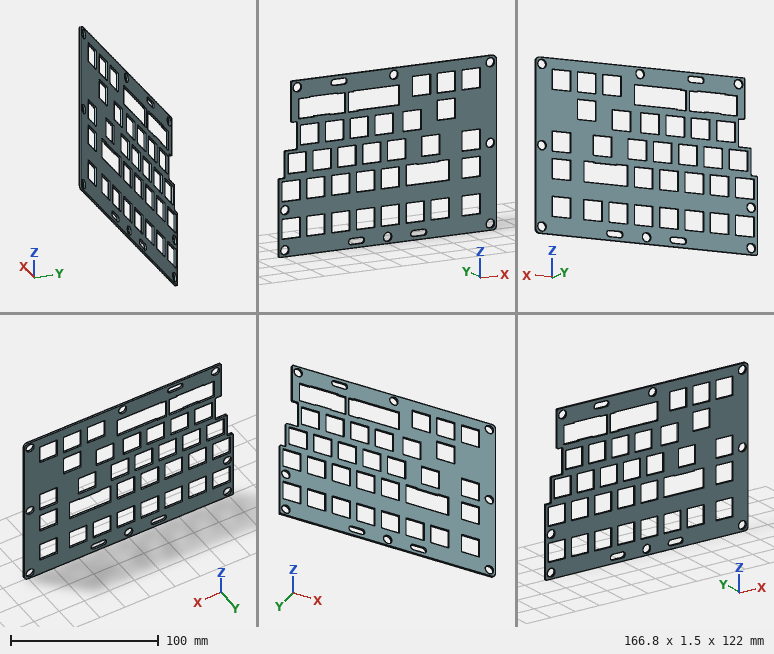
import cadquery as cq

WIDTH = 166.8
HEIGHT = 122.0
THICKNESS = 1.5

FIFTH_X = 85.5
LAST_X = 147.4
LAST_COLUMN = 7.25
PITCH = (LAST_X - FIFTH_X) / (LAST_COLUMN - 4)
FIRST_X = FIFTH_X - 4 * PITCH
STAGGER = PITCH / 4

FOURTH_ROW = 83.7
THIRD_ROW = FOURTH_ROW - PITCH
SECOND_ROW = THIRD_ROW - PITCH
BOTTOM_ROW = SECOND_ROW - 1.375 * PITCH
FIFTH_ROW = FOURTH_ROW + PITCH
TOP_ROW = FIFTH_ROW + STAGGER

SWITCH = 14.0
OPENING_RADIUS = 0.5

SWITCH_ROWS = [
    (BOTTOM_ROW, [0, 1, 2, 3, 4, 5, 6, LAST_COLUMN]),
    (SECOND_ROW, [0, 1, 2, 3, 4, LAST_COLUMN]),
    (THIRD_ROW, [0.25, 1.25, 2.25, 3.25, 4.25, 5.625, LAST_COLUMN]),
    (FOURTH_ROW, [0.75, 1.75, 2.75, 3.75, 4.875]),
    (TOP_ROW - PITCH, [LAST_COLUMN - 1]),
    (TOP_ROW, [LAST_COLUMN - 2, LAST_COLUMN - 1, LAST_COLUMN]),
]

STEP = 0.5
UPPER_WIDE_BOTTOM = 95.2
UPPER_WIDE_TOP = 109.7
LOWER_WIDE_BOTTOM = SECOND_ROW - SWITCH / 2
LOWER_WIDE_TOP = SECOND_ROW + SWITCH / 2 + STEP

RIGHT_RADIUS = 3.0
LEFT_RADIUS = 1.0
LOWER_STEP_Z = 54.9
MIDDLE_STEP_Z = 73.9
UPPER_STEP_Z = 93.4

HOLE_DIAMETER = 6.3
HOLE_INSET = 4.7
SIDE_HOLE_LEFT_Z = 32.7
SIDE_HOLE_RIGHT_Z = 61.0
UPPER_HOLE_MIDDLE_X = 88.2
LOWER_HOLE_MIDDLE_X = WIDTH / 2
SLOT_LENGTH = 12.2
SLOT_HEIGHT = 4.3
UPPER_SLOT_X = 46.2
LOWER_SLOT_OFFSET = 23.8


def front_plane():
    """Front face of the plate, with its origin at the lower-left corner."""
    return cq.Workplane("XZ", origin=(-WIDTH / 2, -THICKNESS / 2, -HEIGHT / 2))


def prism(points):
    """Outline carried through the full thickness."""
    return front_plane().polyline(points).close().extrude(-THICKNESS)


def plate():
    """Plate with a staggered left side."""
    body = prism([
        (0, 0),
        (WIDTH, 0),
        (WIDTH, HEIGHT),
        (2 * STAGGER, HEIGHT),
        (2 * STAGGER, UPPER_STEP_Z),
        (3 * STAGGER, UPPER_STEP_Z),
        (3 * STAGGER, MIDDLE_STEP_Z),
        (STAGGER, MIDDLE_STEP_Z),
        (STAGGER, LOWER_STEP_Z),
        (0, LOWER_STEP_Z),
    ])
    body = body.faces(">X").edges("|Y").fillet(RIGHT_RADIUS)
    left_half = cq.selectors.BoxSelector(
        (-WIDTH, -THICKNESS, -HEIGHT),
        (0, THICKNESS, HEIGHT),
    )
    return body.edges("|Y").edges(left_half).fillet(LEFT_RADIUS)


def switch_openings():
    """Square openings, one for each ordinary key."""
    centres = [
        (FIRST_X + column * PITCH, z)
        for z, columns in SWITCH_ROWS
        for column in columns
    ]
    squares = front_plane().pushPoints(centres).rect(SWITCH, SWITCH).extrude(-THICKNESS)
    return squares.edges("|Y").fillet(OPENING_RADIUS)


def wide_opening(points):
    """Opening for a wide key, with its four outer corners rounded."""
    return prism(points).faces("<X or >X").edges("|Y").fillet(OPENING_RADIUS)


def upper_left_opening():
    """Wide opening with a raised middle in both long edges."""
    left, right = 15.2, 51.0
    bottom_rise_start, bottom_rise_end = 27.3, 39.4
    top_rise_start, top_rise_end = 23.8, 45.0
    return wide_opening([
        (left, UPPER_WIDE_BOTTOM),
        (bottom_rise_start, UPPER_WIDE_BOTTOM),
        (bottom_rise_start, UPPER_WIDE_BOTTOM + STEP),
        (bottom_rise_end, UPPER_WIDE_BOTTOM + STEP),
        (bottom_rise_end, UPPER_WIDE_BOTTOM),
        (right, UPPER_WIDE_BOTTOM),
        (right, UPPER_WIDE_TOP - STEP),
        (top_rise_end, UPPER_WIDE_TOP - STEP),
        (top_rise_end, UPPER_WIDE_TOP),
        (top_rise_start, UPPER_WIDE_TOP),
        (top_rise_start, UPPER_WIDE_TOP - STEP),
        (left, UPPER_WIDE_TOP - STEP),
    ])


def upper_right_opening():
    """Wide opening with its left end set slightly lower than the rest."""
    left, right = 53.4, 92.5
    bottom_rise, top_rise = 60.7, 57.2
    return wide_opening([
        (left, UPPER_WIDE_BOTTOM),
        (bottom_rise, UPPER_WIDE_BOTTOM),
        (bottom_rise, UPPER_WIDE_BOTTOM + STEP),
        (right, UPPER_WIDE_BOTTOM + STEP),
        (right, UPPER_WIDE_TOP),
        (top_rise, UPPER_WIDE_TOP),
        (top_rise, UPPER_WIDE_TOP - STEP),
        (left, UPPER_WIDE_TOP - STEP),
    ])


def lower_opening():
    """Wide opening in the second row, with both ends of the top edge raised."""
    left, right = 97.5, 130.5
    dip_start, dip_end = 105.9, 122.5
    return wide_opening([
        (left, LOWER_WIDE_BOTTOM),
        (right, LOWER_WIDE_BOTTOM),
        (right, LOWER_WIDE_TOP),
        (dip_end, LOWER_WIDE_TOP),
        (dip_end, LOWER_WIDE_TOP - STEP),
        (dip_start, LOWER_WIDE_TOP - STEP),
        (dip_start, LOWER_WIDE_TOP),
        (left, LOWER_WIDE_TOP),
    ])


def fixing_holes():
    """Round holes along the rim."""
    right = WIDTH - HOLE_INSET
    upper = HEIGHT - HOLE_INSET
    centres = [
        (HOLE_INSET, HOLE_INSET),
        (LOWER_HOLE_MIDDLE_X, HOLE_INSET),
        (right, HOLE_INSET),
        (HOLE_INSET, SIDE_HOLE_LEFT_Z),
        (right, SIDE_HOLE_RIGHT_Z),
        (HOLE_INSET + 2 * STAGGER, upper),
        (UPPER_HOLE_MIDDLE_X, upper),
        (right, upper),
    ]
    return front_plane().pushPoints(centres).circle(HOLE_DIAMETER / 2).extrude(-THICKNESS)


def slots():
    """Oblong slots in line with the upper and lower rim holes."""
    centres = [
        (UPPER_SLOT_X, HEIGHT - HOLE_INSET),
        (WIDTH / 2 - LOWER_SLOT_OFFSET, HOLE_INSET),
        (WIDTH / 2 + LOWER_SLOT_OFFSET, HOLE_INSET),
    ]
    outlines = front_plane().pushPoints(centres).slot2D(SLOT_LENGTH, SLOT_HEIGHT)
    return outlines.extrude(-THICKNESS)


result = (
    plate()
    .cut(switch_openings())
    .cut(upper_left_opening())
    .cut(upper_right_opening())
    .cut(lower_opening())
    .cut(fixing_holes())
    .cut(slots())
)